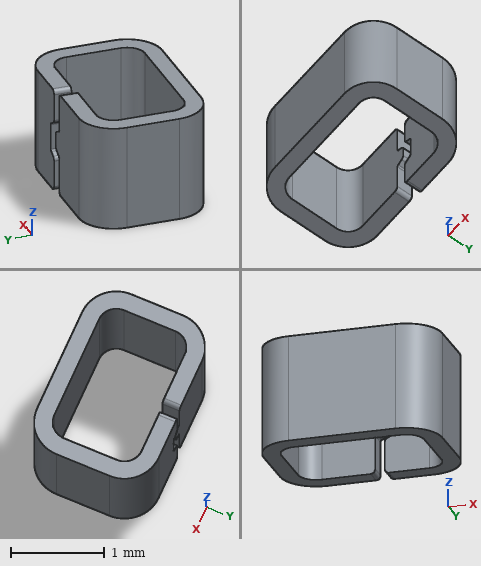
import cadquery as cq
import math

LENGTH = 2.0
DEPTH = 1.42
HEIGHT = 1.2
THICKNESS = 0.2
OUTER_RADIUS = 0.4
END_STEP = 0.02

GAP = 0.1
LEFT_END_X = 0.0
TAB_LENGTH = 0.1
TAB_TIP_HALF_HEIGHT = 0.1
FLANK_SLOPE = 0.5
CONVEX_RADIUS = 0.05
CONCAVE_RADIUS = 0.025

LEFT = -LENGTH / 2
RIGHT = LENGTH / 2
FRONT = -DEPTH / 2
RIGHT_BACK = DEPTH / 2
LEFT_BACK = RIGHT_BACK - END_STEP
TOP = HEIGHT / 2
BOTTOM = -HEIGHT / 2
RIGHT_END_X = LEFT_END_X + GAP

FLANK_RISE = TAB_LENGTH * FLANK_SLOPE
TAB_ROOT_HALF_HEIGHT = TAB_TIP_HALF_HEIGHT + FLANK_RISE
TIP_TURN_ANGLE = math.pi / 2 - math.atan(FLANK_SLOPE)
NOTCH_ROOT_HALF_HEIGHT = TAB_TIP_HALF_HEIGHT + GAP * math.tan(TIP_TURN_ANGLE / 2)
NOTCH_MOUTH_HALF_HEIGHT = NOTCH_ROOT_HALF_HEIGHT + FLANK_RISE


def rounded_block(back, inset):
    """Block with rounded corners from FRONT to `back` in Y, inset evenly on all four sides."""
    width = LENGTH - 2 * inset
    depth = back - FRONT - 2 * inset
    return (
        cq.Workplane("XY", origin=(0, (FRONT + back) / 2, BOTTOM))
        .rect(width, depth)
        .extrude(HEIGHT)
        .edges("|Z")
        .fillet(OUTER_RADIUS - inset)
    )


def strip_loop(back):
    """Closed strip loop of constant thickness."""
    return rounded_block(back, 0).cut(rounded_block(back, THICKNESS))


def front_half():
    """Block covering the loop in front of Y = 0."""
    block = cq.Workplane("XY").box(LENGTH, -FRONT, HEIGHT, centered=(True, False, True))
    return block.translate((0, FRONT, 0))


def end_block(side_x, end_x, base_half_height, base_radius, tip_half_height, tip_radius):
    """Block from side_x to end_x, with a tab or notch reaching TAB_LENGTH further in +X."""
    tip_x = end_x + TAB_LENGTH
    corners = [
        (side_x, BOTTOM),
        (end_x, BOTTOM),
        (end_x, -base_half_height),
        (tip_x, -tip_half_height),
        (tip_x, tip_half_height),
        (end_x, base_half_height),
        (end_x, TOP),
        (side_x, TOP),
    ]
    block = cq.Workplane("XZ", origin=(0, RIGHT_BACK, 0)).polyline(corners).close().extrude(DEPTH)
    roundings = [
        (end_x, TOP, CONVEX_RADIUS),
        (end_x, base_half_height, base_radius),
        (tip_x, tip_half_height, tip_radius),
    ]
    for x, half_height, radius in roundings:
        for z in (half_height, -half_height):
            corner_edge = cq.selectors.NearestToPointSelector((x, 0, z))
            block = block.edges("|Y").edges(corner_edge).fillet(radius)
    return block


def left_arm():
    """Rear left part of the loop, ending in the tab."""
    tab_block = end_block(
        LEFT,
        LEFT_END_X,
        TAB_ROOT_HALF_HEIGHT,
        CONCAVE_RADIUS,
        TAB_TIP_HALF_HEIGHT,
        CONVEX_RADIUS,
    )
    return strip_loop(LEFT_BACK).intersect(tab_block).cut(front_half())


def right_arm():
    """Rear right part of the loop, ending in the notch."""
    notch_block = end_block(
        RIGHT,
        RIGHT_END_X,
        NOTCH_MOUTH_HALF_HEIGHT,
        CONVEX_RADIUS,
        NOTCH_ROOT_HALF_HEIGHT,
        CONCAVE_RADIUS,
    )
    return strip_loop(RIGHT_BACK).intersect(notch_block).cut(front_half())


front_part = strip_loop(LEFT_BACK).intersect(front_half())
result = front_part.union(left_arm()).union(right_arm()).clean().solids()